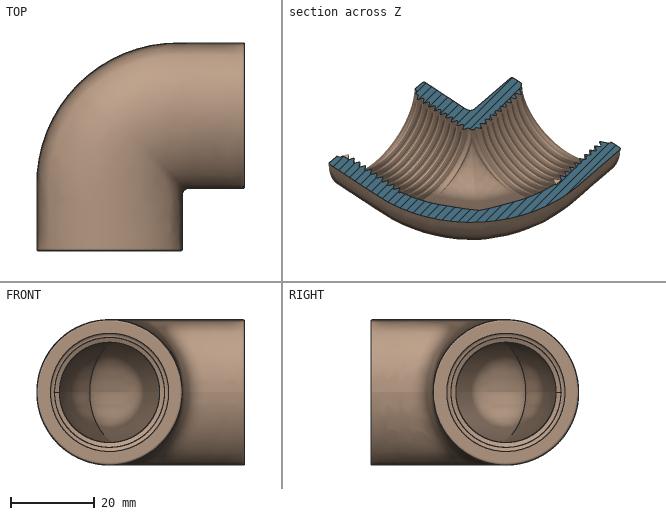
import cadquery as cq
import math


OUTER_RADIUS = 17.5
LEG_LENGTH = 32.5
BEND_RADIUS = 34.0
CROTCH_RADIUS = 1.5
BORE_BEND_RADIUS = 31.3
BORE_RADIUS = 13.22
RIM_FILLET = 0.5
MOUTH_FILLET = 1.0

PITCH = 1.814
THREAD_DEPTH = 1.16
CREST_WIDTH = 0.3
FLANK_ANGLE = 27.5
THREAD_START = 1.8
TURNS = 9
ROOT_OVERLAP = 0.1

THREAD_LENGTH = THREAD_START + TURNS * PITCH + PITCH / 2
SOCKET_FACES = (">X", "<Y")

LEG_SECTIONS = 6
HALF_BEND_SECTIONS = 9


def inner_guide(fraction, radius, corner_radius):
    """Point on the inner line of the elbow, at a fraction of its length from the +X end."""
    straight = LEG_LENGTH - radius - corner_radius
    corner = corner_radius * math.pi / 2
    travel = fraction * (2 * straight + corner)
    center = radius + corner_radius
    if travel <= straight:
        return LEG_LENGTH - travel, -radius
    if travel >= straight + corner:
        return radius, -center - (travel - straight - corner)
    turn = (travel - straight) / corner_radius
    return center - corner_radius * math.sin(turn), -center + corner_radius * math.cos(turn)


def outer_guide(fraction, radius, bend_radius):
    """Point on the outer line of the elbow, at a fraction of its length from the +X end."""
    center = bend_radius - radius
    straight = LEG_LENGTH - center
    bend = bend_radius * math.pi / 2
    travel = fraction * (2 * straight + bend)
    if travel <= straight:
        return LEG_LENGTH - travel, radius
    if travel >= straight + bend:
        return -radius, -center - (travel - straight - bend)
    turn = (travel - straight) / bend_radius
    return center - bend_radius * math.sin(turn), -center + bend_radius * math.cos(turn)


def section(fraction, radius, bend_radius, corner_radius):
    """Ellipse spanning both guides; its half height in Z is the pipe radius."""
    x_in, y_in = inner_guide(fraction, radius, corner_radius)
    x_out, y_out = outer_guide(fraction, radius, bend_radius)
    span = cq.Vector(x_out - x_in, y_out - y_in, 0)
    center = cq.Vector((x_in + x_out) / 2, (y_in + y_out) / 2, 0)
    half_span = max(span.Length / 2, radius)
    across = span.normalized()
    normal = across.cross(cq.Vector(0, 0, 1))
    halves = [
        cq.Edge.makeEllipse(half_span, radius, center, normal, across, start, start + 180)
        for start in (0, 180)
    ]
    return cq.Wire.assembleEdges(halves)


def half_fractions(radius, bend_radius):
    """Section places from the +X end to the middle of the bend, as fractions of the guide length."""
    straight = LEG_LENGTH - (bend_radius - radius)
    bend = bend_radius * math.pi / 2
    leg_share = straight / (2 * straight + bend)
    leg = [leg_share * i / LEG_SECTIONS for i in range(LEG_SECTIONS)]
    bend_half = [
        leg_share + (0.5 - leg_share) * i / HALF_BEND_SECTIONS for i in range(HALF_BEND_SECTIONS + 1)
    ]
    return leg + bend_half


def outer_elbow():
    """Outside of the elbow as one smooth loft, with rounded rims."""
    first_half = half_fractions(OUTER_RADIUS, BEND_RADIUS)
    second_half = [1 - f for f in reversed(first_half[:-1])]
    sections = [section(f, OUTER_RADIUS, BEND_RADIUS, CROTCH_RADIUS) for f in first_half + second_half]
    body = cq.Workplane(cq.Solid.makeLoft(sections))
    return body.faces(" or ".join(SOCKET_FACES)).edges().fillet(RIM_FILLET)


def to_other_socket(feature):
    """Turn a feature half a turn about the line x = -y, from one socket onto the other."""
    return feature.rotate((0, 0, 0), (1, -1, 0), 180)


def bend_bore():
    """Bore between the threads: two halves meeting on the 45 degree plane with a sharp inner corner."""
    fractions = half_fractions(BORE_RADIUS, BORE_BEND_RADIUS)
    sections = [section(f, BORE_RADIUS, BORE_BEND_RADIUS, 0) for f in fractions]
    half = cq.Workplane(cq.Solid.makeLoft(sections))
    reach = LEG_LENGTH - THREAD_LENGTH
    size = 2 * LEG_LENGTH
    past_thread = cq.Workplane().box(size, size, size).translate((reach - LEG_LENGTH, 0, 0))
    half = half.intersect(past_thread)
    return half.union(to_other_socket(half))


def thread_ridge():
    """Helical V ridge standing inward from the bore of the -Y socket."""
    slope = math.tan(math.radians(FLANK_ANGLE))
    crest = CREST_WIDTH / 2
    root = crest + (THREAD_DEPTH + ROOT_OVERLAP) * slope
    crest_radius = BORE_RADIUS - THREAD_DEPTH
    root_radius = BORE_RADIUS + ROOT_OVERLAP
    helix = cq.Wire.makeHelix(PITCH, PITCH * TURNS, BORE_RADIUS)
    ridge = (
        cq.Workplane("XZ")
        .polyline([(root_radius, -root), (crest_radius, -crest), (crest_radius, crest), (root_radius, root)])
        .close()
        .sweep(cq.Workplane(helix), isFrenet=True)
    )
    return (
        ridge
        .rotate((0, 0, 0), (0, 0, 1), 180)
        .rotate((0, 0, 0), (1, 0, 0), -90)
        .translate((0, -LEG_LENGTH + THREAD_START, 0))
    )


def threaded_core():
    """Hollow of the -Y socket: flared mouth and straight bore, less the thread ridge."""
    face = -LEG_LENGTH
    core = (
        cq.Workplane("XY")
        .moveTo(0, face)
        .lineTo(BORE_RADIUS + MOUTH_FILLET, face)
        .radiusArc((BORE_RADIUS, face + MOUTH_FILLET), -MOUTH_FILLET)
        .lineTo(BORE_RADIUS, face + THREAD_LENGTH)
        .lineTo(0, face + THREAD_LENGTH)
        .close()
        .revolve(360, (0, 0, 0), (0, 1, 0))
    )
    return core.cut(thread_ridge())


def hollow():
    """Whole inside of the elbow: both threaded sockets and the bend between them."""
    core = threaded_core()
    return bend_bore().union(core).union(to_other_socket(core))


def build_elbow():
    """Join the outside and inside skins with a flat ring at each socket.

    The skins meet only at the sockets, so stitching them gives the same solid as a cut, far faster.
    """
    outside = outer_elbow()
    inside = hollow()
    rings = [
        cq.Face.makeFromWires(
            outside.faces(socket).val().outerWire(),
            [inside.faces(socket).val().outerWire()],
        )
        for socket in SOCKET_FACES
    ]
    both = " or ".join(SOCKET_FACES)
    outer_skin = outside.faces(f"not ({both})").vals()
    inner_skin = inside.faces(f"not ({both})").vals()
    return cq.Workplane(cq.Solid.makeSolid(cq.Shell.makeShell(outer_skin + inner_skin + rings)))


result = build_elbow()